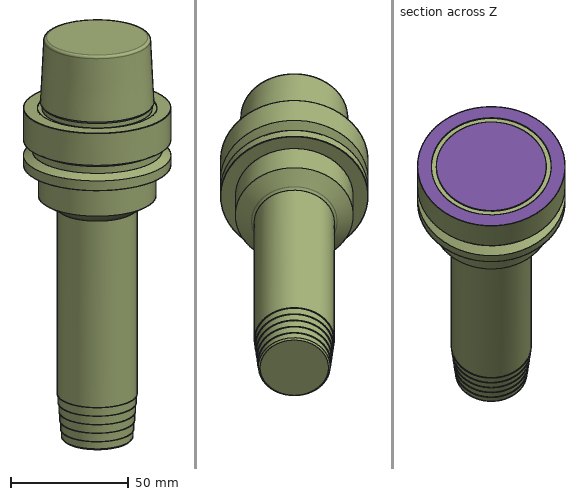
import cadquery as cq

length = 181.9
flange_radius = 31.5
body_radius = 25.1

spigot_top_radius = 22.7
spigot_base_radius = 24.2
spigot_round = 1.3
spigot_height = 31.8
neck_radius = 23.5
neck_height = 1.5
neck_lead = 1.0
recess_radius = 25.5
recess_depth = 0.5

flange_height = 26.2
flange_edge = 0.2
groove_radius = 27.6
groove_top_drop = 14.5
groove_bottom_drop = 21.6
groove_side_height = 2.0

body_height = 13.8
cone_end_radius = 18.2
cone_height = 4.4
cone_blend = 1.0

nose_tip_radius = 15.3
nose_chamfer = 0.7
nose_bands = 5
nose_band_height = 4.0
nose_step = 0.4
shank_radius = nose_tip_radius + nose_bands * nose_step

flange_top = length - spigot_height
flange_bottom = flange_top - flange_height
groove_top = flange_top - groove_top_drop
groove_bottom = flange_top - groove_bottom_drop
body_bottom = flange_bottom - body_height
cone_bottom = body_bottom - cone_height
neck_top = flange_top + neck_height


def nose_points():
    """Cylindrical bands from the tip chamfer upward, each one step wider than the last."""
    points = [(nose_tip_radius, nose_chamfer)]
    for band in range(1, nose_bands + 1):
        radius = nose_tip_radius + (band - 1) * nose_step
        height = band * nose_band_height
        points.append((radius, height))
        points.append((radius + nose_step, height))
    return points


profile = (
    [(0, 0), (nose_tip_radius - nose_chamfer, 0)]
    + nose_points()
    + [
        (shank_radius, cone_bottom - cone_blend),
        (cone_end_radius, cone_bottom),
        (body_radius, body_bottom),
        (body_radius, flange_bottom),
        (flange_radius - flange_edge, flange_bottom),
        (flange_radius, flange_bottom + flange_edge),
        (flange_radius, groove_bottom),
        (groove_radius, groove_bottom + groove_side_height),
        (groove_radius, groove_top - groove_side_height),
        (flange_radius, groove_top),
        (flange_radius, flange_top - flange_edge),
        (flange_radius - flange_edge, flange_top),
        (recess_radius, flange_top),
        (recess_radius, flange_top - recess_depth),
        (neck_radius, flange_top - recess_depth),
        (neck_radius, neck_top),
        (spigot_base_radius, neck_top + neck_lead),
        (spigot_top_radius, length),
        (0, length),
    ]
)

body = cq.Workplane("XZ").polyline(profile).close().revolve(360, (0, 0, 0), (0, 1, 0))

result = body.faces(">Z").edges().fillet(spigot_round)